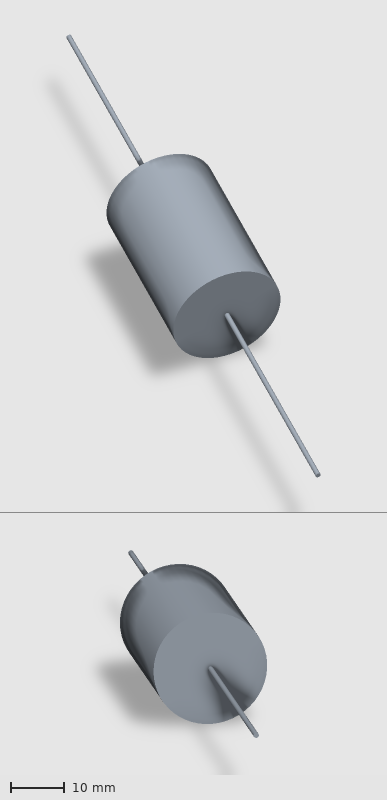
import cadquery as cq

lead_length = 123.0
lead_diameter = 1.0
body_length = 33.0
body_diameter = 21.5


def centred_cylinder(diameter, length):
    """Solid cylinder along X, centred on the origin."""
    return cq.Workplane("YZ", origin=(-length / 2, 0, 0)).circle(diameter / 2).extrude(length)


def make_lead():
    """Round wire that runs through the capacitor body and out of both ends."""
    return centred_cylinder(lead_diameter, lead_length)


def make_capacitor_body():
    """Plain cylinder with a bore along its axis that fits the lead."""
    bore = centred_cylinder(lead_diameter, body_length)
    return centred_cylinder(body_diameter, body_length).cut(bore)


capacitor_body = make_capacitor_body()
lead = make_lead()

result = cq.Compound.makeCompound([capacitor_body.val(), lead.val()])